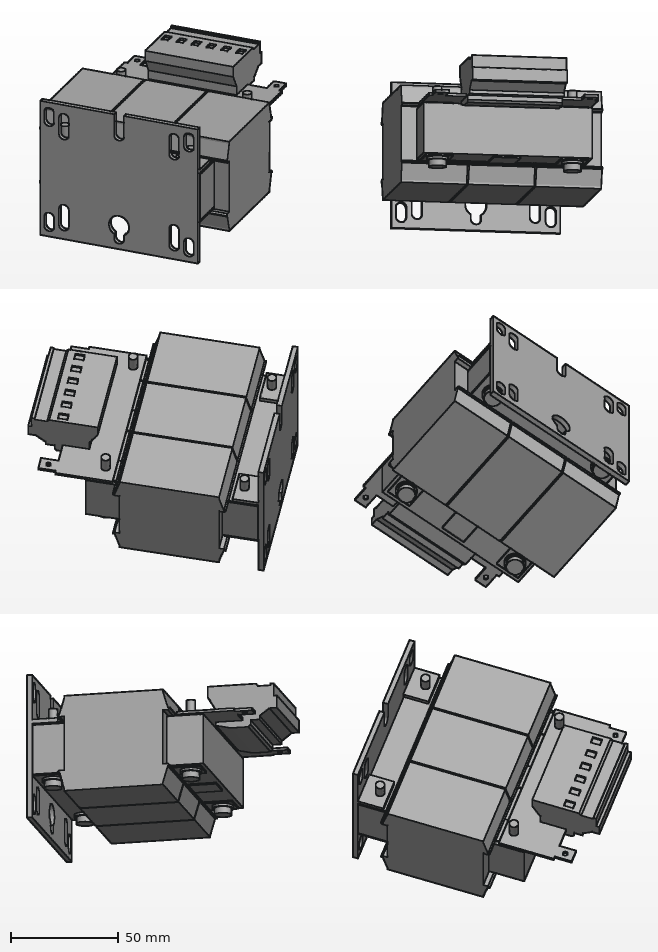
import cadquery as cq


PLATE_WIDTH = 80.0
PLATE_HEIGHT = 69.0
PLATE_THICKNESS = 2.5
SLOT_WIDTH = 5.0
OUTER_SLOT_X = 35.5
OUTER_SLOT_LENGTH = 9.4
OUTER_SLOT_Z = 27.0
INNER_SLOT_X = 28.0
INNER_SLOT_LENGTH = 13.2
INNER_SLOT_Z = 23.4
NOTCH_BOTTOM_Z = 21.4
KEYHOLE_DIAMETER = 10.2
KEYHOLE_Z = -22.5
KEYHOLE_BOTTOM_Z = -31.6

CORE_WIDTH = PLATE_WIDTH
CORE_LENGTH = 81.9
CORE_THICKNESS = 23.8
CORE_GAP = 0.3
CORE_FRONT_Y = PLATE_THICKNESS + CORE_GAP
CORE_BACK_Y = CORE_FRONT_Y + CORE_LENGTH
CORE_MID_Z = -1.8
FRONT_YOKE_DEPTH = 15.9
BACK_YOKE_DEPTH = 18.1
LIMB_WIDTH = 16.0
LIMB_PITCH = (CORE_WIDTH - LIMB_WIDTH) / 2
LIMB_PLACES = (-LIMB_PITCH, 0, LIMB_PITCH)

SHEET_THICKNESS = 0.75
SHEET_TOP_Z = CORE_MID_Z + CORE_THICKNESS / 2 + SHEET_THICKNESS
SHEET_EDGE_INSET = 0.2
SHEET_WIDTH = CORE_WIDTH - 2 * SHEET_EDGE_INSET
STRIP_WIDTH = 12.7
STRIP_BACK_INSET = 2.0
STRIP_BACK_Y = CORE_BACK_Y - STRIP_BACK_INSET

WINDING_COUNT = len(LIMB_PLACES)
WINDINGS_WIDTH = 95.0
WINDING_GAP = 0.8
WINDING_WIDTH = (WINDINGS_WIDTH - (WINDING_COUNT - 1) * WINDING_GAP) / WINDING_COUNT
WINDING_PITCH = WINDING_WIDTH + WINDING_GAP
WINDING_LENGTH = 47.4
WINDING_MID_Y = 43.4
WINDING_HEIGHT = 46.0
FLANGE_OVERHANG = 3.2
FLANGE_ROOT_OVERHANG = 2.3
FLANGE_RIM_HEIGHT = 1.1
FLANGE_TIP_TOP = 14.2
FLANGE_TIP_BOTTOM = 13.8
FLANGE_BOTTOM = 13.0

SCREW_X = LIMB_PITCH
SCREW_INSET = 7.9
SCREW_DIAMETER = 4.2
SCREW_TOP_Z = 19.2
WASHER_DIAMETER = 10.0
WASHER_THICKNESS = 1.2
HEAD_DIAMETER = 8.2
HEAD_HEIGHT = 3.1

LUG_WIDTH = 16.0
LUG_LENGTH = 12.4
LUG_THICKNESS = 2.0

CARRIER_THICKNESS = 1.25
CARRIER_TOP_Z = SHEET_TOP_Z + CARRIER_THICKNESS
CARRIER_FRONT_Y = 72.0
CARRIER_BACK_Y = 99.3
TAB_X = 35.4
TAB_WIDTH = 6.4
TAB_LENGTH = 8.3
TAB_HOLE_DIAMETER = 2.2
TAB_HOLE_INSET = 4.2

TERMINAL_WIDTH = 44.8
TERMINAL_BACK_Y = 115.7
TERMINAL_FRONT_Y = 82.5
TERMINAL_BASE_FRONT_Y = 86.5
TERMINAL_TOP_Z = 28.3
THROAT_TOP_Z = 16.5
OVERHANG_TOP_Z = 23.1
RECESS_FRONT_Y = 106.7
RECESS_BACK_Y = 112.6
RECESS_DEPTH = 1.2
RECESS_CHAMFER = 1.1
RIDGE_BACK_Y = 114.1
RIDGE_HEIGHT = 0.8
LEDGE_TOP_Z = 21.9
LEDGE_BOTTOM_Z = 16.0
LEDGE_FRONT_Y = 112.1
STEM_BACK_Y = 107.4
STEM_TOP_Z = 12.5
FOOT_BACK_Y = 103.1
FOOT_BOTTOM_Z = 7.6
FOOT_CHAMFER = 1.1
FOOT_FLAT_FRONT_Y = 93.6
FOOT_FRONT_Z = 9.2
WINDOW_COUNT = 6
WINDOW_PITCH = 7.55
WINDOW_WIDTH = 3.3
WINDOW_LENGTH = 4.5
WINDOW_DEPTH = 1.0
WINDOW_Y = 99.7


def block(x_range, y_range, z_range):
    """Box between the given limits along X, Y and Z."""
    size = [high - low for low, high in (x_range, y_range, z_range)]
    corner = (x_range[0], y_range[0], z_range[0])
    return cq.Workplane("XY").box(*size, centered=False).translate(corner)


def centred_block(x, width, y_range, z_range):
    """Box of the given width, centred on x."""
    return block((x - width / 2, x + width / 2), y_range, z_range)


def rod(x, y, diameter, z_low, z_high):
    """Vertical cylinder."""
    return cq.Workplane("XY", origin=(x, y, z_low)).circle(diameter / 2).extrude(z_high - z_low)


def extrude_along_x(points, width):
    """Prism with a (Y, Z) outline, centred on X = 0."""
    return cq.Workplane("YZ", origin=(-width / 2, 0, 0)).polyline(points).close().extrude(width)


def make_mounting_plate():
    plate = centred_block(0, PLATE_WIDTH, (0, PLATE_THICKNESS), (-PLATE_HEIGHT / 2, PLATE_HEIGHT / 2))

    def cutter():
        return cq.Workplane("XZ", origin=(0, PLATE_THICKNESS, 0))

    slots = (
        (OUTER_SLOT_X, OUTER_SLOT_Z, OUTER_SLOT_LENGTH),
        (INNER_SLOT_X, INNER_SLOT_Z, INNER_SLOT_LENGTH),
    )
    for x, z, length in slots:
        places = [(-x, -z), (-x, z), (x, -z), (x, z)]
        holes = cutter().pushPoints(places).slot2D(length, SLOT_WIDTH, 90).extrude(PLATE_THICKNESS)
        plate = plate.cut(holes)

    notch_top_z = PLATE_HEIGHT / 2 + SLOT_WIDTH
    plate = plate.cut(vertical_slot(cutter(), NOTCH_BOTTOM_Z, notch_top_z))

    keyhole = cutter().center(0, KEYHOLE_Z).circle(KEYHOLE_DIAMETER / 2).extrude(PLATE_THICKNESS)
    neck = vertical_slot(cutter(), KEYHOLE_BOTTOM_Z, KEYHOLE_Z)
    return plate.cut(keyhole).cut(neck)


def vertical_slot(plane, z_low, z_high):
    """Upright slot on the middle of the plate, between its lowest and highest points."""
    middle = (z_low + z_high) / 2
    return plane.center(0, middle).slot2D(z_high - z_low, SLOT_WIDTH, 90).extrude(PLATE_THICKNESS)


def winding_places():
    return [(i - (WINDING_COUNT - 1) / 2) * WINDING_PITCH for i in range(WINDING_COUNT)]


def make_core():
    z_range = (CORE_MID_Z - CORE_THICKNESS / 2, CORE_MID_Z + CORE_THICKNESS / 2)
    front_yoke = (CORE_FRONT_Y, CORE_FRONT_Y + FRONT_YOKE_DEPTH)
    back_yoke = (CORE_BACK_Y - BACK_YOKE_DEPTH, CORE_BACK_Y)
    core = centred_block(0, CORE_WIDTH, front_yoke, z_range)
    core = core.union(centred_block(0, CORE_WIDTH, back_yoke, z_range))
    for x in LIMB_PLACES:
        core = core.union(centred_block(x, LIMB_WIDTH, (CORE_FRONT_Y, CORE_BACK_Y), z_range))

    sheet_z = (z_range[0] - SHEET_THICKNESS, z_range[1] + SHEET_THICKNESS)
    core = core.union(centred_block(0, SHEET_WIDTH, front_yoke, sheet_z))
    for x in LIMB_PLACES:
        core = core.union(centred_block(x, STRIP_WIDTH, (CORE_FRONT_Y, STRIP_BACK_Y), sheet_z))
    return core


def make_winding(x):
    half_length = WINDING_LENGTH / 2
    half_height = WINDING_HEIGHT / 2
    quarter = [
        (half_length, half_height),
        (half_length, half_height - FLANGE_RIM_HEIGHT),
        (half_length + FLANGE_ROOT_OVERHANG, FLANGE_TIP_TOP),
        (half_length + FLANGE_OVERHANG, FLANGE_TIP_TOP),
        (half_length + FLANGE_OVERHANG, FLANGE_TIP_BOTTOM),
        (half_length + FLANGE_ROOT_OVERHANG, FLANGE_BOTTOM),
        (half_length, FLANGE_BOTTOM),
    ]
    back = quarter + [(y, -z) for y, z in reversed(quarter)]
    outline = back + [(-y, -z) for y, z in back]
    return extrude_along_x(outline, WINDING_WIDTH).translate((x, WINDING_MID_Y, CORE_MID_Z))


def make_screw(x, y):
    washer_top_z = 2 * CORE_MID_Z - SHEET_TOP_Z
    washer_bottom_z = washer_top_z - WASHER_THICKNESS
    shank = rod(x, y, SCREW_DIAMETER, washer_bottom_z, SCREW_TOP_Z)
    washer = rod(x, y, WASHER_DIAMETER, washer_bottom_z, washer_top_z)
    head = rod(x, y, HEAD_DIAMETER, washer_bottom_z - HEAD_HEIGHT, washer_bottom_z)
    return shank.union(washer).union(head)


def make_lug(side):
    x = side * (PLATE_WIDTH - LUG_WIDTH) / 2
    y_range = (PLATE_THICKNESS, PLATE_THICKNESS + LUG_LENGTH)
    return centred_block(x, LUG_WIDTH, y_range, (SHEET_TOP_Z, SHEET_TOP_Z + LUG_THICKNESS))


def make_carrier():
    z_range = (SHEET_TOP_Z, CARRIER_TOP_Z)
    tab_back_y = CARRIER_BACK_Y + TAB_LENGTH
    carrier = centred_block(0, CORE_WIDTH, (CARRIER_FRONT_Y, CARRIER_BACK_Y), z_range)
    for x in (-TAB_X, TAB_X):
        carrier = carrier.union(centred_block(x, TAB_WIDTH, (CARRIER_BACK_Y, tab_back_y), z_range))
        carrier = carrier.cut(rod(x, tab_back_y - TAB_HOLE_INSET, TAB_HOLE_DIAMETER, *z_range))
    return carrier


def make_terminal_block():
    recess_z = TERMINAL_TOP_Z - RECESS_DEPTH
    ridge_z = recess_z + RIDGE_HEIGHT
    body_outline = [
        (TERMINAL_BASE_FRONT_Y, SHEET_TOP_Z),
        (TERMINAL_BASE_FRONT_Y, THROAT_TOP_Z),
        (TERMINAL_FRONT_Y, OVERHANG_TOP_Z),
        (TERMINAL_FRONT_Y, TERMINAL_TOP_Z),
        (RECESS_FRONT_Y - RECESS_CHAMFER, TERMINAL_TOP_Z),
        (RECESS_FRONT_Y, recess_z),
        (RECESS_BACK_Y, recess_z),
        (RECESS_BACK_Y, ridge_z),
        (RIDGE_BACK_Y, ridge_z),
        (RIDGE_BACK_Y, LEDGE_TOP_Z),
        (TERMINAL_BACK_Y, LEDGE_TOP_Z),
        (TERMINAL_BACK_Y, LEDGE_BOTTOM_Z),
        (LEDGE_FRONT_Y, LEDGE_BOTTOM_Z),
        (STEM_BACK_Y, STEM_TOP_Z),
        (STEM_BACK_Y, SHEET_TOP_Z),
    ]
    foot_outline = [
        (TERMINAL_BASE_FRONT_Y, SHEET_TOP_Z),
        (FOOT_BACK_Y, SHEET_TOP_Z),
        (FOOT_BACK_Y, FOOT_BOTTOM_Z + FOOT_CHAMFER),
        (FOOT_BACK_Y - FOOT_CHAMFER, FOOT_BOTTOM_Z),
        (FOOT_FLAT_FRONT_Y, FOOT_BOTTOM_Z),
        (TERMINAL_BASE_FRONT_Y, FOOT_FRONT_Z),
    ]
    terminals = extrude_along_x(body_outline, TERMINAL_WIDTH)
    terminals = terminals.union(extrude_along_x(foot_outline, TERMINAL_WIDTH))
    window_y = (WINDOW_Y - WINDOW_LENGTH / 2, WINDOW_Y + WINDOW_LENGTH / 2)
    for i in range(WINDOW_COUNT):
        x = (i - (WINDOW_COUNT - 1) / 2) * WINDOW_PITCH
        window_z = (TERMINAL_TOP_Z - WINDOW_DEPTH, TERMINAL_TOP_Z)
        terminals = terminals.cut(centred_block(x, WINDOW_WIDTH, window_y, window_z))
    return terminals


def make_transformer():
    part = make_core().union(make_mounting_plate())
    for x in winding_places():
        part = part.union(make_winding(x))
    for side in (-1, 1):
        part = part.union(make_lug(side))
    part = part.union(make_carrier()).union(make_terminal_block())
    for x in (-SCREW_X, SCREW_X):
        for y in (CORE_FRONT_Y + SCREW_INSET, CORE_BACK_Y - SCREW_INSET):
            part = part.union(make_screw(x, y))
    return part


result = make_transformer()